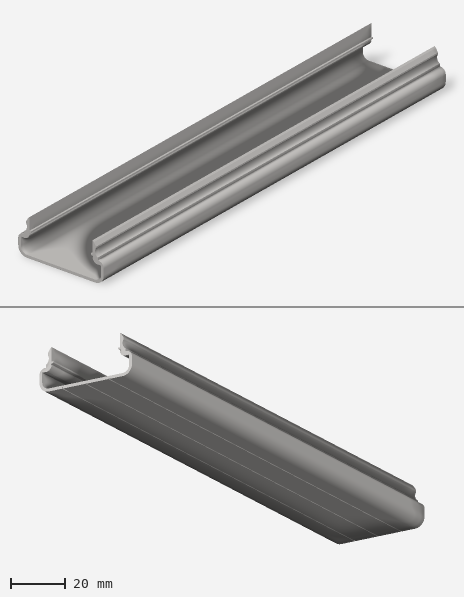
import cadquery as cq

length = 200.0
width = 40.0
height = 17.0
wall = 1.2

corner_radius = 4.0
shoulder_radius = 2.5
shoulder_z = 9.5
shoulder_underside_z = 7.8

leg_inner_x = 14.8
leg_foot_x = 17.2
leg_foot_z = 10.5
leg_waist_x = 16.0
leg_waist_z = 12.2
barb_x = 16.5
barb_bottom_z = 14.2
barb_top_z = 14.8
tip_bevel_x = 15.5
tip_bevel_z = 16.5

lip_x = 14.0
lip_bottom_z = 10.8
lip_top_z = 11.5
notch_x = 15.0
notch_z = 10.5
heel_x = 14.8
heel_size = 1.8
heel_radius = 2.5

groove_depth = 0.5
side_groove_x = 10.0
groove_width = 0.5

half_width = width / 2
inner_half_width = half_width - wall
inner_radius = corner_radius - wall
corner_center_x = half_width - corner_radius


def make_half():
    """Half of the channel on the +X side, cut at the middle plane."""
    profile = (
        cq.Workplane("XZ")
        .moveTo(0, 0)
        .lineTo(corner_center_x, 0)
        .radiusArc((half_width, corner_radius), -corner_radius)
        .lineTo(half_width, shoulder_z - shoulder_radius)
        .radiusArc((half_width - shoulder_radius, shoulder_z), -shoulder_radius)
        .lineTo(leg_foot_x, shoulder_z)
        .lineTo(leg_foot_x, leg_foot_z)
        .threePointArc((leg_waist_x, leg_waist_z), (barb_x, barb_bottom_z))
        .lineTo(barb_x, barb_top_z)
        .lineTo(tip_bevel_x, tip_bevel_z)
        .lineTo(leg_inner_x, height)
        .lineTo(leg_inner_x, lip_top_z)
        .lineTo(lip_x, lip_top_z)
        .lineTo(lip_x, lip_bottom_z)
        .lineTo(notch_x, notch_z)
        .lineTo(heel_x, shoulder_underside_z + heel_size)
        .radiusArc((heel_x + heel_size, shoulder_underside_z), -heel_radius)
        .lineTo(inner_half_width, shoulder_underside_z)
        .lineTo(inner_half_width, corner_radius)
        .radiusArc((corner_center_x, wall), inner_radius)
        .lineTo(0, wall)
        .close()
    )
    return profile.extrude(length / 2, both=True)


def make_groove(center_x):
    """Square-edged cutter running the full length of the underside."""
    return cq.Workplane("XY").center(center_x, 0).box(
        groove_width, length, groove_depth, centered=(True, True, False)
    )


half = make_half()
channel = half.union(half.mirror("YZ")).clean()

for groove_x in (-side_groove_x, 0, side_groove_x):
    channel = channel.cut(make_groove(groove_x))

result = channel